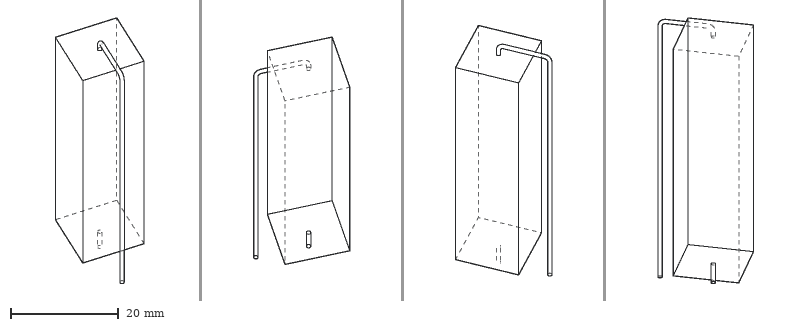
import cadquery as cq
import math

body_side = 12.5
body_height = 48.0
overall_height = 54.6
lead_diameter = 0.8
lead_pitch = 10.15
bend_radius = 1.1
lower_lead_length = 4.0

lead_radius = lead_diameter / 2
lead_bottom = -lower_lead_length
wire_top = overall_height - lower_lead_length - lead_radius
bend_start = wire_top - bend_radius
bend_diagonal = bend_radius * math.sqrt(0.5)


def make_body():
    return cq.Workplane("XY").rect(body_side, body_side).extrude(body_height)


def make_lead():
    """Sweep one wire through the body, over the top and down beside it."""
    path = (
        cq.Workplane("XZ")
        .moveTo(0, lead_bottom)
        .lineTo(0, bend_start)
        .threePointArc(
            (bend_radius - bend_diagonal, bend_start + bend_diagonal),
            (bend_radius, wire_top),
        )
        .lineTo(lead_pitch - bend_radius, wire_top)
        .threePointArc(
            (lead_pitch - bend_radius + bend_diagonal, bend_start + bend_diagonal),
            (lead_pitch, bend_start),
        )
        .lineTo(lead_pitch, lead_bottom)
    )
    profile = cq.Workplane("XY", origin=(0, 0, lead_bottom)).circle(lead_radius)
    return profile.sweep(path)


result = make_body().union(make_lead())